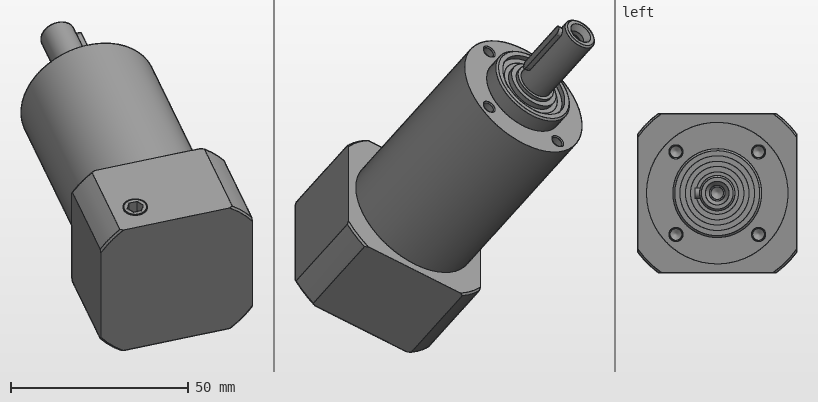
import cadquery as cq
import math

TOTAL_LENGTH = 111.0

SHAFT_RADIUS = 5.0
SHAFT_CHAMFER = 0.5
SHOULDER_RADIUS = 6.0
SHOULDER_X = 22.8
SHOULDER_LENGTH = 1.0

PILOT_RADIUS = 12.5
PILOT_CHAMFER = 0.5
PILOT_X = SHOULDER_X + SHOULDER_LENGTH
PILOT_LENGTH = 5.2
GROOVE_INNER_RADIUS = 7.5
GROOVE_STEP_RADIUS = 9.0
GROOVE_OUTER_RADIUS = 10.5
GROOVE_OUTER_DEPTH = 1.4
GROOVE_INNER_DEPTH = 1.5

BODY_RADIUS = 20.0
BODY_X = PILOT_X + PILOT_LENGTH

FLANGE_WIDTH = 45.0
FLANGE_X = 84.0
FLANGE_LENGTH = TOTAL_LENGTH - FLANGE_X
FLANGE_CORNER_RADIUS = 28.0
FLANGE_CORNER_CHAMFER = 0.5

KEY_X = 1.8
KEY_LENGTH = 18.0
KEY_WIDTH = 3.0
KEY_TOP_Y = 6.2

CENTER_CONE_RADIUS = 3.3
CENTER_BORE_RADIUS = 2.2
CENTER_CONE_HALF_ANGLE = 30.0
CENTER_BORE_END_X = 3.2
CENTER_CORE_RADIUS = 1.8
CENTER_CORE_DEPTH = 14.0

MOUNT_OFFSET = 11.7
MOUNT_RADIUS = 1.7
MOUNT_MOUTH_RADIUS = 2.0
MOUNT_DEPTH = 10.0

SCREW_X = 102.5
SCREW_Y = -9.5
SCREW_RADIUS = 3.4
SCREW_CHAMFER = 0.2
SOCKET_FLATS = 4.1
SOCKET_DEPTH = 6.0

DRILL_HALF_ANGLE = 59.0


def cylinder(radius, x_start, x_end):
    """Cylinder on the X axis between two X positions."""
    return cq.Workplane("YZ", origin=(x_start, 0, 0)).circle(radius).extrude(x_end - x_start)


def point_length(radius):
    """Height of the cone that a drill of this radius leaves at the end of a hole."""
    return radius / math.tan(math.radians(DRILL_HALF_ANGLE))


def make_shaft():
    shaft = cylinder(SHAFT_RADIUS, 0, SHOULDER_X).faces("<X").chamfer(SHAFT_CHAMFER)
    shoulder = cylinder(SHOULDER_RADIUS, SHOULDER_X, PILOT_X)
    return shaft.union(shoulder)


def make_key():
    return (
        cq.Workplane("XZ", origin=(KEY_X + KEY_LENGTH / 2, 0, 0))
        .slot2D(KEY_LENGTH, KEY_WIDTH)
        .extrude(-KEY_TOP_Y)
    )


def face_groove(inner_radius, outer_radius, depth):
    """Ring that is cut into the pilot face."""
    ring = cq.Workplane("YZ", origin=(PILOT_X, 0, 0)).circle(outer_radius).circle(inner_radius)
    return ring.extrude(depth)


def make_pilot():
    pilot = cylinder(PILOT_RADIUS, PILOT_X, BODY_X).faces("<X").chamfer(PILOT_CHAMFER)
    outer_groove = face_groove(GROOVE_STEP_RADIUS, GROOVE_OUTER_RADIUS, GROOVE_OUTER_DEPTH)
    inner_groove = face_groove(GROOVE_INNER_RADIUS, GROOVE_STEP_RADIUS, GROOVE_INNER_DEPTH)
    return pilot.cut(outer_groove).cut(inner_groove)


def make_flange():
    """Square block whose corners are turned to a cylinder chamfered at both ends."""
    block = (
        cq.Workplane("YZ", origin=(FLANGE_X, 0, 0))
        .rect(FLANGE_WIDTH, FLANGE_WIDTH)
        .extrude(FLANGE_LENGTH)
    )
    envelope = cylinder(FLANGE_CORNER_RADIUS, FLANGE_X, TOTAL_LENGTH)
    return block.intersect(envelope.faces("<X or >X").chamfer(FLANGE_CORNER_CHAMFER))


def make_center_hole():
    """Conical mouth, short bore and drilled core, revolved about the X axis."""
    cone_end = (CENTER_CONE_RADIUS - CENTER_BORE_RADIUS) / math.tan(math.radians(CENTER_CONE_HALF_ANGLE))
    return (
        cq.Workplane("XY")
        .polyline([
            (0, 0),
            (0, CENTER_CONE_RADIUS),
            (cone_end, CENTER_BORE_RADIUS),
            (CENTER_BORE_END_X, CENTER_BORE_RADIUS),
            (CENTER_BORE_END_X, CENTER_CORE_RADIUS),
            (CENTER_CORE_DEPTH, CENTER_CORE_RADIUS),
            (CENTER_CORE_DEPTH + point_length(CENTER_CORE_RADIUS), 0),
        ])
        .close()
        .revolve(360, (0, 0, 0), (1, 0, 0))
    )


def make_mount_holes():
    """Drilled holes with a 45 degree countersunk mouth, on a square pattern."""
    countersink = MOUNT_MOUTH_RADIUS - MOUNT_RADIUS
    hole = (
        cq.Workplane("XY")
        .polyline([
            (0, 0),
            (0, MOUNT_MOUTH_RADIUS),
            (countersink, MOUNT_RADIUS),
            (MOUNT_DEPTH, MOUNT_RADIUS),
            (MOUNT_DEPTH + point_length(MOUNT_RADIUS), 0),
        ])
        .close()
        .revolve(360, (0, 0, 0), (1, 0, 0))
    )
    holes = cq.Workplane("XY")
    for y in (-MOUNT_OFFSET, MOUNT_OFFSET):
        for z in (-MOUNT_OFFSET, MOUNT_OFFSET):
            holes = holes.add(hole.translate((BODY_X, y, z)))
    return holes.combine()


def make_screw_recess():
    """Chamfer ring round the screw end and its hexagon socket with a drilled bottom."""
    top = FLANGE_WIDTH / 2
    ring = (
        cq.Workplane("XZ")
        .polyline([
            (SCREW_RADIUS, 0),
            (SCREW_RADIUS, -SCREW_CHAMFER),
            (SCREW_RADIUS - SCREW_CHAMFER, 0),
        ])
        .close()
        .revolve(360, (0, 0, 0), (0, 1, 0))
    )
    corner_radius = SOCKET_FLATS / math.sqrt(3)
    tip_depth = SOCKET_DEPTH + point_length(corner_radius)
    hexagon = (
        cq.Workplane("XY")
        .transformed(rotate=(0, 0, 90))
        .polygon(6, 2 * corner_radius)
        .extrude(-tip_depth)
    )
    drilled = (
        cq.Workplane("XZ")
        .polyline([(0, 0), (corner_radius, 0), (corner_radius, -SOCKET_DEPTH), (0, -tip_depth)])
        .close()
        .revolve(360, (0, 0, 0), (0, 1, 0))
    )
    recess = ring.add(hexagon.intersect(drilled)).combine()
    return recess.translate((SCREW_X, SCREW_Y, top))


housing = cylinder(BODY_RADIUS, BODY_X, FLANGE_X)
result = (
    make_flange()
    .union(housing)
    .union(make_pilot())
    .union(make_shaft())
    .union(make_key())
    .cut(make_center_hole())
    .cut(make_mount_holes())
    .cut(make_screw_recess())
)